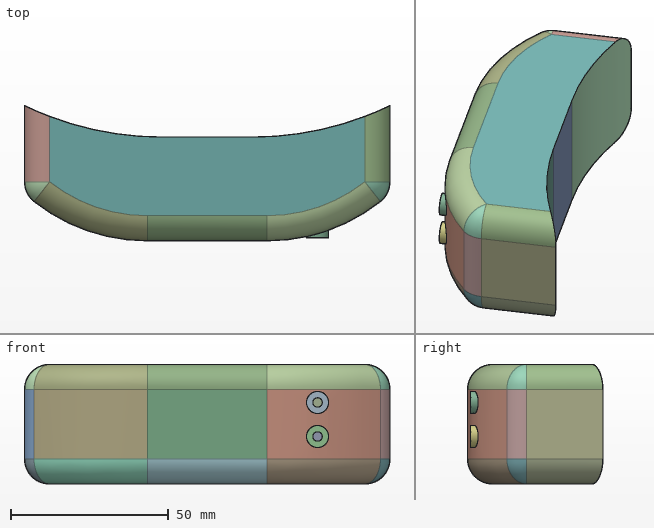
import cadquery as cq
import math

length = 116.0
height = 38.0
depth = 43.0
front_flat_length = 38.0
middle_thickness = 33.0
front_radius = 58.0
back_radius = 100.0
edge_radius = 8.0
selection_margin = 1.0

boss_diameter = 7.0
boss_x = 35.0
boss_heights = (6.9, -3.9)
boss_face_y = 1.0
hole_diameter = 3.0
hole_depth = 5.0

half_length = length / 2
half_front_flat = front_flat_length / 2


def front_curve_y(x):
    """Y of the front curve, which leaves the flat tangentially."""
    return front_radius - math.sqrt(front_radius**2 - (x - half_front_flat) ** 2)


back_rise = depth - middle_thickness
back_run = math.sqrt(back_radius**2 - (back_radius - back_rise) ** 2)
half_back_flat = half_length - back_run


def back_curve_y(x):
    """Y of the back curve."""
    drop = math.sqrt(back_radius**2 - (x - half_back_flat) ** 2)
    return middle_thickness + back_radius - drop


def make_body():
    front_mid_x = (half_front_flat + half_length) / 2
    back_mid_x = (half_back_flat + half_length) / 2
    front_end_y = front_curve_y(half_length)
    front_mid_y = front_curve_y(front_mid_x)
    back_mid_y = back_curve_y(back_mid_x)
    body = (
        cq.Workplane("XY")
        .workplane(offset=-height / 2)
        .moveTo(-half_front_flat, 0)
        .lineTo(half_front_flat, 0)
        .threePointArc((front_mid_x, front_mid_y), (half_length, front_end_y))
        .lineTo(half_length, depth)
        .threePointArc((back_mid_x, back_mid_y), (half_back_flat, middle_thickness))
        .lineTo(-half_back_flat, middle_thickness)
        .threePointArc((-back_mid_x, back_mid_y), (-half_length, depth))
        .lineTo(-half_length, front_end_y)
        .threePointArc((-front_mid_x, front_mid_y), (-half_front_flat, 0))
        .close()
        .extrude(height)
    )
    rounded_edges = cq.selectors.BoxSelector(
        (-length, -selection_margin, -height),
        (length, middle_thickness - selection_margin, height),
    )
    return body.edges(rounded_edges).fillet(edge_radius)


def cylinder_from_face(diameter, z, reach):
    """Cylinder along +Y that starts at the boss face."""
    start = cq.Vector(boss_x, boss_face_y, z)
    return cq.Workplane(cq.Solid.makeCylinder(diameter / 2, reach, start, cq.Vector(0, 1, 0)))


def add_bosses(body):
    boss_reach = front_curve_y(boss_x + boss_diameter / 2)
    for z in boss_heights:
        body = body.union(cylinder_from_face(boss_diameter, z, boss_reach))
    for z in boss_heights:
        body = body.cut(cylinder_from_face(hole_diameter, z, hole_depth))
    return body


result = add_bosses(make_body())